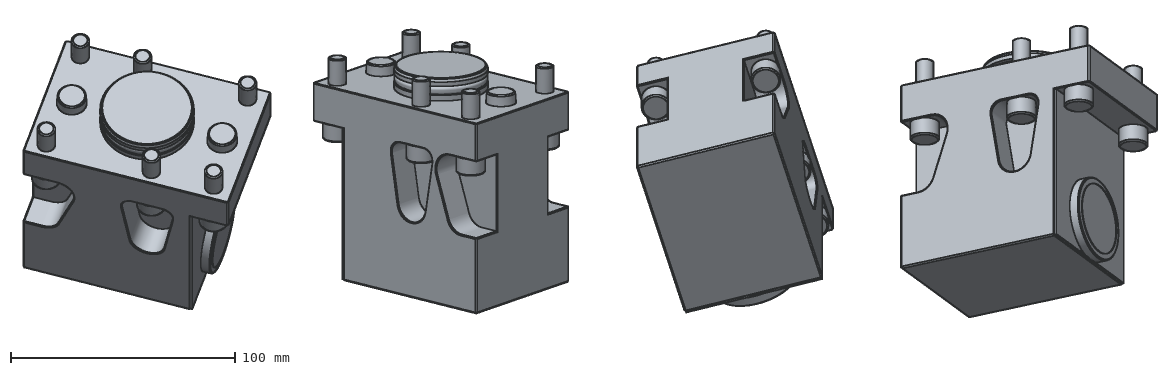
import cadquery as cq

LENGTH = 96.0
WIDTH = 64.0
FLANGE_TOP = 88.9
FLANGE_BOTTOM = 71.0
BODY_LENGTH = 77.8
EDGE_CHAMFER = 0.7
FLANGE_CHAMFER = 0.4
BODY_LEFT = -LENGTH / 2
BODY_RIGHT = BODY_LEFT + BODY_LENGTH
FRONT_Y = -WIDTH / 2

COVER_THICKNESS = 1.2
COVER_INSET = 0.5

CAP_DIAMETER = 38.0
CAP_HEIGHT = 4.4
CAP_CHAMFER = 0.5
CAP_FACE_DIAMETER = 32.0
CAP_FACE_HEIGHT = 0.3

SCREW_TOP = 101.0
SCREW_DIAMETER = 8.0
SCREW_CHAMFER_HEIGHT = 0.5
SCREW_CHAMFER_INSET = 0.8
HEAD_DIAMETER = 13.0
HEAD_HEIGHT = 8.0
HEAD_CHAMFER = 0.7
SCREW_ROW_Y = 25.5
CORNER_SCREW_X = 39.1
MIDDLE_SCREW_X = 10.0

POCKET_DEPTH = 14.2
POCKET_BOTTOM = 35.4
POCKET_RADIUS = 8.0
MIDDLE_POCKET_TOP_RADIUS = 5.0
MIDDLE_POCKET_TOP_WIDTH = 23.6
CORNER_POCKET_RIGHT = -24.3
RIM_CHAMFER = 0.5

STUD_X = 35.1
STUD_DIAMETER = 13.5
STUD_SHOULDER_DIAMETER = 12.8
STUD_HEIGHT = 5.2
STUD_CHAMFER = 0.6

PLUG_DIAMETER = 42.0
PLUG_HEIGHT = 10.5
PLUG_LEAD_HEIGHT = 1.7
PLUG_LEAD_INSET = 0.6
PLUG_TIP_CHAMFER = 0.5

GROOVE_BOTTOM = 2.6
GROOVE_HEIGHT = 4.1
GROOVE_DIAMETER = 37.0
SEAL_DIAMETER = 41.8
SEAL_HEIGHT = 3.5
SEAL_ROUNDING = 1.3


def centered_box(x_min, x_max, width, z_min, z_max):
    """Box between two X and two Z positions, centered on Y."""
    box = cq.Workplane("XY").box(x_max - x_min, width, z_max - z_min, centered=(False, True, False))
    return box.translate((x_min, 0, z_min))


def cylinder(x, y, z, diameter, height):
    """Upright cylinder standing on height z."""
    return cq.Workplane("XY", origin=(x, y, z)).circle(diameter / 2).extrude(height)


def rotated_copy(solid):
    """Same solid turned half a revolution about Z."""
    return solid.rotate((0, 0, 0), (0, 0, 1), 180)


def make_block():
    """Flange and body; the body fills the flange's lower chamfer wherever it reaches."""
    flange = centered_box(BODY_LEFT, LENGTH / 2, WIDTH, FLANGE_BOTTOM, FLANGE_TOP)
    flange = flange.edges("|Z").chamfer(EDGE_CHAMFER)
    flange = flange.faces("<Z or >Z").chamfer(FLANGE_CHAMFER)
    body = centered_box(BODY_LEFT, BODY_RIGHT, WIDTH, 0, FLANGE_TOP - FLANGE_CHAMFER)
    body = body.edges("(|Z and <X) or (<Z and (<X or |X))").chamfer(EDGE_CHAMFER)
    return flange.union(body)


def make_cover_and_cap():
    cover_right = BODY_RIGHT + COVER_THICKNESS
    cover = centered_box(BODY_RIGHT, cover_right, WIDTH - 2 * COVER_INSET, COVER_INSET, FLANGE_BOTTOM)
    cap_plane = cq.Workplane("YZ", origin=(cover_right, 0, CAP_DIAMETER / 2))
    cap = cap_plane.circle(CAP_DIAMETER / 2).extrude(CAP_HEIGHT).faces(">X").chamfer(CAP_CHAMFER)
    face = cap_plane.circle(CAP_FACE_DIAMETER / 2).extrude(CAP_HEIGHT + CAP_FACE_HEIGHT)
    return cover.union(cap).union(face)


def middle_pocket_outline(margin):
    """Teardrop around a middle screw, grown outwards by margin."""
    low_z = POCKET_BOTTOM + POCKET_RADIUS
    high_z = FLANGE_BOTTOM - MIDDLE_POCKET_TOP_RADIUS
    half_gap = MIDDLE_POCKET_TOP_WIDTH / 2 - MIDDLE_POCKET_TOP_RADIUS
    outline = cq.Sketch().arc((MIDDLE_SCREW_X, low_z), POCKET_RADIUS + margin, 0, 360)
    for center_x in (MIDDLE_SCREW_X - half_gap, MIDDLE_SCREW_X + half_gap):
        outline = outline.arc((center_x, high_z), MIDDLE_POCKET_TOP_RADIUS + margin, 0, 360)
    return outline.hull()


def corner_pocket_outline(margin):
    """Pocket around a corner screw, open at -X and grown outwards by margin."""
    radius = POCKET_RADIUS + margin
    low_z = POCKET_BOTTOM + POCKET_RADIUS
    high_z = FLANGE_BOTTOM - POCKET_RADIUS
    open_x = BODY_LEFT - POCKET_RADIUS
    outline = cq.Sketch().arc((-CORNER_SCREW_X, low_z), radius, 0, 360)
    outline = outline.arc((CORNER_POCKET_RIGHT - POCKET_RADIUS, high_z), radius, 0, 360)
    outline = outline.segment((open_x, POCKET_BOTTOM - margin), (open_x, FLANGE_BOTTOM + margin))
    return outline.hull()


def make_pocket(outline):
    """Pocket in the -Y side with a chamfered rim."""
    side = cq.Workplane("XZ", origin=(0, FRONT_Y, 0))
    pocket = side.placeSketch(outline(0)).extrude(-POCKET_DEPTH)
    rim = side.placeSketch(outline(RIM_CHAMFER)).extrude(-RIM_CHAMFER, taper=45)
    return pocket.union(rim)


def make_end_rim():
    """Chamfer where a -Y corner pocket opens through the -X face."""
    height = FLANGE_BOTTOM - POCKET_BOTTOM
    end = cq.Workplane("YZ", origin=(BODY_LEFT, FRONT_Y, POCKET_BOTTOM + height / 2))
    rim = end.rect(2 * (POCKET_DEPTH + RIM_CHAMFER), height + 2 * RIM_CHAMFER)
    return rim.extrude(RIM_CHAMFER, taper=45)


def make_pockets():
    middle = make_pocket(middle_pocket_outline)
    corner = make_pocket(corner_pocket_outline).union(make_end_rim())
    return middle.union(rotated_copy(middle)).union(corner).union(corner.mirror("XZ"))


def make_screw(x, y):
    thread = cylinder(x, y, FLANGE_BOTTOM, SCREW_DIAMETER, SCREW_TOP - FLANGE_BOTTOM)
    thread = thread.faces(">Z").edges().chamfer(SCREW_CHAMFER_HEIGHT, SCREW_CHAMFER_INSET)
    head = cylinder(x, y, FLANGE_BOTTOM - HEAD_HEIGHT, HEAD_DIAMETER, HEAD_HEIGHT)
    head = head.faces("<Z").chamfer(HEAD_CHAMFER)
    return thread.union(head)


def make_stud(x):
    foot = STUD_DIAMETER / 2
    shoulder = STUD_SHOULDER_DIAMETER / 2
    profile = cq.Workplane("XZ").polyline([
        (0, 0),
        (foot, 0),
        (shoulder, STUD_HEIGHT - STUD_CHAMFER),
        (shoulder - STUD_CHAMFER, STUD_HEIGHT),
        (0, STUD_HEIGHT),
    ]).close()
    return profile.revolve(360, (0, 0, 0), (0, 1, 0)).translate((x, 0, FLANGE_TOP))


def make_plug():
    rim = PLUG_DIAMETER / 2
    lead = rim - PLUG_LEAD_INSET
    profile = cq.Workplane("XZ").polyline([
        (0, 0),
        (rim, 0),
        (rim, PLUG_HEIGHT - PLUG_LEAD_HEIGHT),
        (lead, PLUG_HEIGHT - PLUG_TIP_CHAMFER),
        (lead - PLUG_TIP_CHAMFER, PLUG_HEIGHT),
        (0, PLUG_HEIGHT),
    ]).close()
    plug = profile.revolve(360, (0, 0, 0), (0, 1, 0))
    groove = cylinder(0, 0, GROOVE_BOTTOM, PLUG_DIAMETER, GROOVE_HEIGHT)
    groove = groove.cut(cylinder(0, 0, GROOVE_BOTTOM, GROOVE_DIAMETER, GROOVE_HEIGHT))
    seal = cylinder(0, 0, GROOVE_BOTTOM, SEAL_DIAMETER, SEAL_HEIGHT).edges().fillet(SEAL_ROUNDING)
    return plug.cut(groove).union(seal).translate((0, 0, FLANGE_TOP))


result = make_block().union(make_cover_and_cap()).cut(make_pockets())
for row in (-1, 1):
    for screw_x in (-CORNER_SCREW_X, CORNER_SCREW_X, -row * MIDDLE_SCREW_X):
        result = result.union(make_screw(screw_x, row * SCREW_ROW_Y))
for stud_x in (-STUD_X, STUD_X):
    result = result.union(make_stud(stud_x))
result = result.union(make_plug())